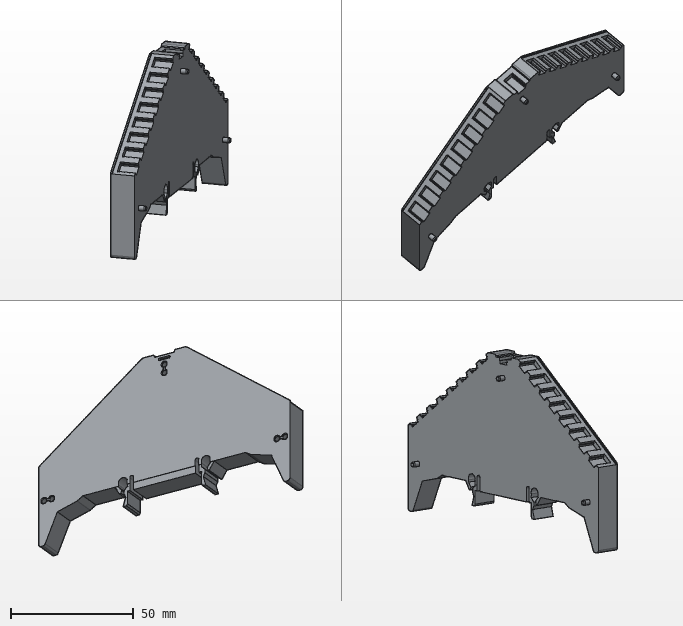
import cadquery as cq
import math

WIDTH = 120.0
HEIGHT = 73.1
BODY_THICKNESS = 10.2
PIN_LENGTH = 3.0
HALF_WIDTH = WIDTH / 2

SHOULDER_Z = 35.6
CREST_HALF = 9.6
LIP_RISE = 0.5
LIP_THICKNESS = 0.7
LIP_CHAMFER = 0.5

POCKET_COUNT = 8
POCKET_PITCH = 7.8
POCKET_LENGTH = 4.9
POCKET_DEPTH = 1.9
POCKET_LEDGE = 0.4
POCKET_MARGIN = 1.5
POCKET_START_X = 2.5

NOTCH_FLOOR_Z = 72.0
NOTCH_HALF = 4.5
NOTCH_DRAFT = 0.2
NOTCH_ROUND = 0.6
CREST_POCKET_DEPTH = 2.4

BELLY_Z = 17.9
RAIL_STEP = 0.1
RAIL_REACH = 24.0
RAIL_SEAT_Z = 14.6
RELIEF_TOP_Z = 21.2
SLOT_INNER = 14.8
SLOT_OUTER = 16.5
HOOK_INNER = 17.6
HOOK_SHOULDER = 19.3
HOOK_TIP_Z = 8.2
KEYHOLE_INNER = 17.8
KEYHOLE_OUTER = 21.8
KEYHOLE_SPRING_Z = 18.5

FOOT_TOE = 57.1
FOOT_FILLET = 1.2

PIN_RADIUS = 1.1
PIN_ROOT = 1.2
PIN_TIP_LENGTH = 0.6
PIN_TIP_TAPER = 0.2
PIN_SIDE_Y = 53.8
PIN_SIDE_Z = 20.4
PIN_TOP_Z = 64.0
SOCKET_RADIUS = PIN_RADIUS
SOCKET_MOUTH_RADIUS = 1.5
SOCKET_MOUTH_DEPTH = 0.4
SOCKET_SPACING = 3.7
SOCKET_NECK = 1.0
SOCKET_DEPTH = PIN_LENGTH

LABEL_SLOT_LENGTH = 5.5
LABEL_SLOT_HEIGHT = 1.1
LABEL_SLOT_DEPTH = 1.2
LABEL_SLOT_Z = 70.5

slope_run = HALF_WIDTH - CREST_HALF
slope_rise = HEIGHT - SHOULDER_Z
slope_angle = math.atan2(slope_rise, slope_run)


def half_body():
    """The +Y half of the body, drawn in YZ and extruded along +X."""
    notch_wall_top = NOTCH_HALF + NOTCH_DRAFT
    keyhole_middle = (KEYHOLE_INNER + KEYHOLE_OUTER) / 2
    slot_radius = (SLOT_OUTER - SLOT_INNER) / 2
    slot_spring_z = RELIEF_TOP_Z - slot_radius
    half = (
        cq.Workplane("YZ")
        .moveTo(0, NOTCH_FLOOR_Z)
        .lineTo(NOTCH_HALF, NOTCH_FLOOR_Z)
        .lineTo(notch_wall_top, HEIGHT - NOTCH_ROUND)
        .radiusArc((notch_wall_top + NOTCH_ROUND, HEIGHT), NOTCH_ROUND)
        .lineTo(CREST_HALF, HEIGHT)
        .lineTo(HALF_WIDTH, SHOULDER_Z)
        .lineTo(HALF_WIDTH, 0)
        .lineTo(FOOT_TOE, 0)
        .lineTo(51.0, 13.7)
        .lineTo(41.5, 16.2)
        .lineTo(38.8, BELLY_Z)
        .lineTo(23.8, BELLY_Z)
        .lineTo(21.4, 14.3)
        .lineTo(20.8, 14.5)
        .lineTo(20.4, 15.7)
        .lineTo(KEYHOLE_OUTER, 17.5)
        .lineTo(KEYHOLE_OUTER, KEYHOLE_SPRING_Z)
        .threePointArc((keyhole_middle, RELIEF_TOP_Z), (KEYHOLE_INNER, KEYHOLE_SPRING_Z))
        .lineTo(HOOK_INNER, 16.9)
        .lineTo(HOOK_SHOULDER, 15.2)
        .lineTo(HOOK_SHOULDER, 13.7)
        .lineTo(18.6, 12.1)
        .lineTo(19.7, HOOK_TIP_Z)
        .lineTo(18.1, HOOK_TIP_Z)
        .lineTo(HOOK_INNER, 9.0)
        .lineTo(HOOK_INNER, RAIL_SEAT_Z)
        .lineTo(SLOT_OUTER, RAIL_SEAT_Z)
        .lineTo(SLOT_OUTER, slot_spring_z)
        .threePointArc((SLOT_OUTER - slot_radius, RELIEF_TOP_Z), (SLOT_INNER, slot_spring_z))
        .lineTo(SLOT_INNER, RAIL_SEAT_Z)
        .lineTo(0, RAIL_SEAT_Z)
        .close()
        .extrude(BODY_THICKNESS)
    )
    return half.edges("|X").edges("<Z").fillet(FOOT_FILLET)


def shoulder_lip():
    """Thin raised edge along the slope on the -X face, chamfered at both ends."""
    lip_shift_y = LIP_RISE / math.sin(slope_angle)
    lip_shift_z = LIP_RISE / math.cos(slope_angle)
    lip = (
        cq.Workplane("YZ")
        .moveTo(CREST_HALF, HEIGHT)
        .lineTo(CREST_HALF + lip_shift_y, HEIGHT)
        .lineTo(HALF_WIDTH, SHOULDER_Z + lip_shift_z)
        .lineTo(HALF_WIDTH, SHOULDER_Z)
        .close()
        .extrude(LIP_THICKNESS)
    )
    upper_end = cq.NearestToPointSelector((LIP_THICKNESS / 2, CREST_HALF + lip_shift_y, HEIGHT))
    lower_end = cq.NearestToPointSelector((LIP_THICKNESS / 2, HALF_WIDTH, SHOULDER_Z + lip_shift_z))
    return lip.edges(upper_end).chamfer(LIP_CHAMFER).edges(lower_end).chamfer(LIP_CHAMFER)


def pocket(depth):
    """Cutter open at +X, its mouth centred on the origin in Y, with a ledge halfway down both ends."""
    run = BODY_THICKNESS - POCKET_START_X
    from_top = (False, True, False)
    upper = cq.Workplane("XY").box(run, POCKET_LENGTH, depth, centered=from_top)
    lower = cq.Workplane("XY").box(run, POCKET_LENGTH - 2 * POCKET_LEDGE, depth, centered=from_top)
    cutter = upper.translate((0, 0, -depth / 2)).union(lower.translate((0, 0, -depth)))
    return cutter.translate((POCKET_START_X, 0, 0))


def shoulder_pockets():
    """Row of pockets cut square to the +Y slope."""
    lean = -math.degrees(slope_angle)
    pockets = cq.Workplane("XY")
    for i in range(POCKET_COUNT):
        along = POCKET_MARGIN + POCKET_LENGTH / 2 + i * POCKET_PITCH
        y = HALF_WIDTH - along * math.cos(slope_angle)
        z = SHOULDER_Z + along * math.sin(slope_angle)
        pockets = pockets.add(pocket(POCKET_DEPTH).rotate((0, 0, 0), (1, 0, 0), lean).translate((0, y, z)))
    return pockets.combine()


def crest_pocket():
    """Cutter for the pocket in the notch floor."""
    return pocket(CREST_POCKET_DEPTH).translate((0, 0, NOTCH_FLOOR_Z))


def rail_step():
    """Thin layer taken off the -X face below the belly line."""
    return cq.Workplane("XY").box(RAIL_STEP, 2 * RAIL_REACH, BELLY_Z, centered=(False, True, False))


def pin(y, z):
    """Round pin on the +X face with a tapered tip, started inside the body."""
    root = BODY_THICKNESS - PIN_ROOT
    tip = BODY_THICKNESS + PIN_LENGTH
    profile = (
        cq.Workplane("XY")
        .moveTo(root, 0)
        .lineTo(root, PIN_RADIUS)
        .lineTo(tip - PIN_TIP_LENGTH, PIN_RADIUS)
        .lineTo(tip, PIN_RADIUS - PIN_TIP_TAPER)
        .lineTo(tip, 0)
        .close()
    )
    return profile.revolve(360, (0, 0, 0), (1, 0, 0)).translate((0, y, z))


def socket():
    """Cutter for one round socket with a countersunk mouth on the -X face."""
    profile = (
        cq.Workplane("XY")
        .lineTo(0, SOCKET_MOUTH_RADIUS)
        .lineTo(SOCKET_MOUTH_DEPTH, SOCKET_RADIUS)
        .lineTo(SOCKET_DEPTH, SOCKET_RADIUS)
        .lineTo(SOCKET_DEPTH, 0)
        .close()
    )
    return profile.revolve(360, (0, 0, 0), (1, 0, 0))


def double_socket(y, z, step_y, step_z):
    """Two sockets linked by a shallow narrow neck, the first one opposite a pin."""
    near = socket().translate((0, y, z))
    far = socket().translate((0, y + step_y, z + step_z))
    neck = (
        cq.Workplane("YZ")
        .center(y + step_y / 2, z + step_z / 2)
        .rect(max(abs(step_y), SOCKET_NECK), max(abs(step_z), SOCKET_NECK))
        .extrude(SOCKET_MOUTH_DEPTH)
    )
    return near.union(far).union(neck)


def label_slot():
    """Cutter for the shallow round-ended slot on the -X face."""
    return (
        cq.Workplane("YZ")
        .center(0, LABEL_SLOT_Z)
        .slot2D(LABEL_SLOT_LENGTH, LABEL_SLOT_HEIGHT)
        .extrude(LABEL_SLOT_DEPTH)
    )


half = half_body().union(shoulder_lip()).cut(shoulder_pockets())
body = half.union(half.mirror("XZ"))
body = body.cut(crest_pocket()).cut(label_slot()).cut(rail_step())

for side in (-1, 1):
    body = body.cut(double_socket(side * PIN_SIDE_Y, PIN_SIDE_Z, side * SOCKET_SPACING, 0))
    body = body.union(pin(side * PIN_SIDE_Y, PIN_SIDE_Z))
body = body.cut(double_socket(0, PIN_TOP_Z, 0, SOCKET_SPACING))
body = body.union(pin(0, PIN_TOP_Z))

result = body